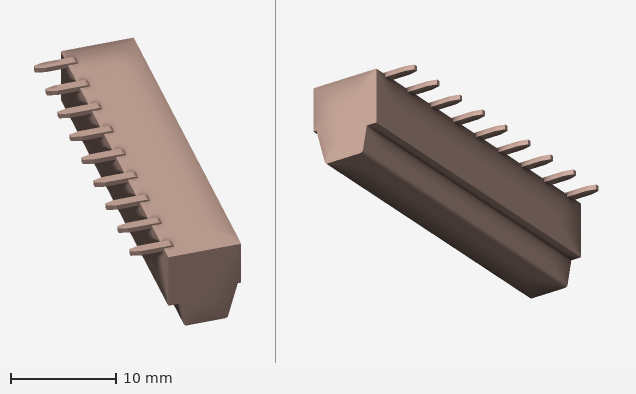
import cadquery as cq

length = 34.3
pin_count = 9
pitch = length / pin_count
body_depth = 7.27
body_height = 8.5

front_shoulder_drop = 5.75
front_shoulder_width = 1.1
front_nose_inset = 1.58
back_shoulder_drop = 4.63
back_shoulder_width = 0.35
back_nose_inset = 1.37
nose_edge_radius = 0.35

pin_width = 0.9
pin_thickness = 0.5
pin_rise = 0.2
pin_overhang = 3.22
pin_embed = 1.13
pin_bend_radius = pin_thickness
tip_length = 0.95
tip_width = 0.4

pin_top = body_height + pin_rise
pin_back = pin_overhang + pin_embed


def make_housing():
    """Extruded section; the front face lies on Y = pin_overhang, pin tips on Y = 0."""
    front = pin_overhang
    back = front + body_depth
    front_shoulder = body_height - front_shoulder_drop
    back_shoulder = body_height - back_shoulder_drop
    section = [
        (front, body_height),
        (front, front_shoulder),
        (front + front_shoulder_width, front_shoulder),
        (front + front_nose_inset, 0),
        (back - back_nose_inset, 0),
        (back - back_shoulder_width, back_shoulder),
        (back, back_shoulder),
        (back, body_height),
    ]
    housing = cq.Workplane("YZ").polyline(section).close().extrude(length)
    return housing.faces("<Z").edges("|X").fillet(nose_edge_radius)


def make_pin(x_center):
    """Flat pin with a tapered tip and a rounded bend where it enters the top face."""
    half_width = pin_width / 2
    half_tip = tip_width / 2
    outline = [
        (x_center - half_tip, 0),
        (x_center + half_tip, 0),
        (x_center + half_width, tip_length),
        (x_center + half_width, pin_back),
        (x_center - half_width, pin_back),
        (x_center - half_width, tip_length),
    ]
    bottom = cq.Workplane("XY").workplane(offset=pin_top - pin_thickness)
    blade = bottom.polyline(outline).close().extrude(pin_thickness)
    profile = (
        cq.Workplane("YZ", origin=(x_center - half_width, 0, 0))
        .moveTo(0, pin_top - pin_thickness)
        .lineTo(0, pin_top)
        .lineTo(pin_back - pin_bend_radius, pin_top)
        .radiusArc((pin_back, pin_top - pin_bend_radius), pin_bend_radius)
        .close()
        .extrude(pin_width)
    )
    return blade.intersect(profile)


result = make_housing()
for index in range(pin_count):
    result = result.union(make_pin((index + 0.5) * pitch))